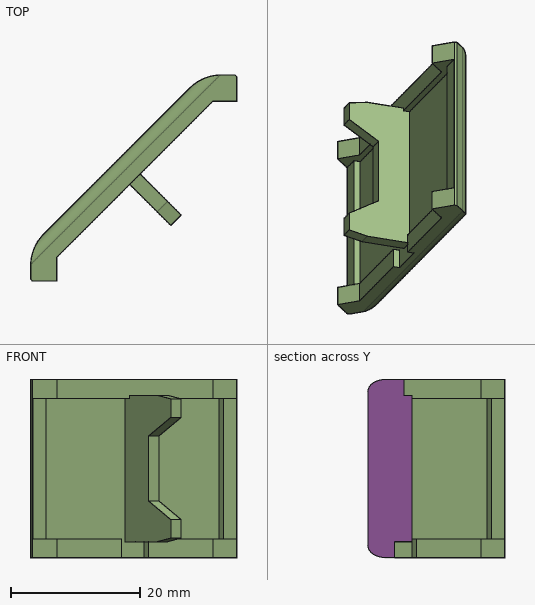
import cadquery as cq
import math

size = 31.9
height = 27.6
half_size = size / 2
half_height = height / 2
tilt = 45

outer_offset = 3.73
inner_offset = -0.25
lip_thickness = 4.08
lip_chamfer = 0.32
end_radius = 6.98
edge_radius = 1.9

rim_height = 2.93
pocket_length = 38.78
pocket_depth = 1.02
notch_width = 5.95

fin_thickness = 2.25
fin_length = 9.0
fin_height = 22.65
fin_straight_length = 6.0
fin_tip_taper = 0.57
fin_gap_floor = 4.1
fin_gap_floor_height = 10.05
fin_gap_mouth_height = 15.82

pocket_floor = inner_offset + pocket_depth
inner_height = height - 2 * rim_height


def turned(body):
    """Turn a body from the local plate axes to its final direction."""
    return body.rotate((0, 0, 0), (0, 0, 1), tilt)


def local_block(length, y_low, y_high, z_low, z_high):
    """Block centred along the plate, placed by its Y and Z limits."""
    block = cq.Workplane("XY").box(length, y_high - y_low, z_high - z_low)
    return turned(block.translate((0, (y_low + y_high) / 2, (z_low + z_high) / 2)))


def make_plate():
    outer_rise = outer_offset * math.sqrt(2)
    inner_rise = inner_offset * math.sqrt(2)
    lip_inner = half_size - lip_thickness
    tangent = end_radius * math.tan(math.radians(tilt / 2))
    tangent_step = tangent * math.cos(math.radians(tilt))

    corner = -half_size + outer_rise
    arc_start = (-half_size, corner - tangent)
    arc_end = (-half_size + tangent_step, corner + tangent_step)
    chamfer_end = half_size - lip_chamfer
    profile = (
        cq.Workplane("XY", origin=(0, 0, -half_height))
        .moveTo(-half_size, -chamfer_end)
        .lineTo(*arc_start)
        .radiusArc(arc_end, end_radius)
        .lineTo(-arc_end[1], -arc_end[0])
        .radiusArc((-arc_start[1], -arc_start[0]), end_radius)
        .lineTo(chamfer_end, half_size)
        .lineTo(half_size, chamfer_end)
        .lineTo(half_size, lip_inner)
        .lineTo(lip_inner - inner_rise, lip_inner)
        .lineTo(-lip_inner, -lip_inner + inner_rise)
        .lineTo(-lip_inner, -half_size)
        .lineTo(-chamfer_end, -half_size)
        .close()
    )
    plate = profile.extrude(height)

    stock = cq.Workplane("XY").box(2 * size, size, height)
    stock = stock.translate((0, outer_offset - half_size, 0))
    stock = stock.edges(">Y and |X").fillet(edge_radius)
    return plate.intersect(turned(stock))


def make_recess():
    half_inner = inner_height / 2
    lip_gap = local_block(2 * size, -size, inner_offset, -half_inner, half_inner)
    pocket = local_block(pocket_length, inner_offset, pocket_floor, -half_inner, half_inner)
    notch = local_block(notch_width, inner_offset, pocket_floor, -half_height, -half_inner)
    return lip_gap.union(pocket).union(notch)


def make_fin():
    tip = inner_offset - fin_length
    taper_start = inner_offset - fin_straight_length
    gap_floor = inner_offset - fin_gap_floor
    upper_half = [
        (pocket_floor, fin_height / 2),
        (taper_start, fin_height / 2),
        (tip, fin_height / 2 - fin_tip_taper),
        (tip, fin_gap_mouth_height / 2),
        (gap_floor, fin_gap_floor_height / 2),
    ]
    lower_half = [(y, -z) for y, z in reversed(upper_half)]
    fin = (
        cq.Workplane("YZ")
        .polyline(upper_half + lower_half)
        .close()
        .extrude(fin_thickness / 2, both=True)
    )
    return turned(fin)


result = make_plate().cut(make_recess()).union(make_fin())